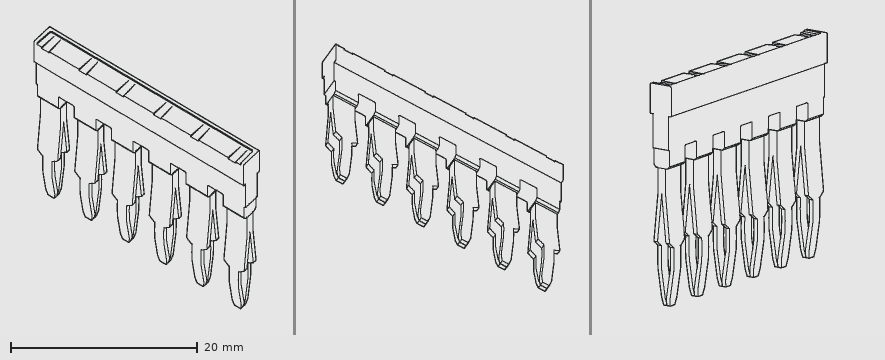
import cadquery as cq


contact_count = 6
pitch = 5.1
contact_width = 2.78
contact_x = [(i - (contact_count - 1) / 2) * pitch for i in range(contact_count)]
row_half_length = contact_x[-1] + contact_width / 2

length = 28.7
flange_width = 2.8
flange_height = 3.4
flange_top_fillet = 0.2
flange_bottom_fillet = 0.17
web_width = 2.05
web_bottom_z = -7.15
tooth_width = 2.98
tooth_bottom_z = -9.3
tooth_chamfer = 0.3
tooth_root_fillet = 0.17

recess_depth = flange_top_fillet
rim_width = 0.5
rim_front_width = 0.4
recess_corner_radius = 0.2
notch_back_width = 0.85
notch_front_width = 1.03
notch_depth = 0.2
notch_length = 2.05

stem_half_thickness = 0.52
fork_z = -12.17
upper_bend_z = -17.7
middle_bend_z = -19.35
lower_bend_z = -20.6
tip_z = -24.7
upper_bend_y = 1.05
middle_bend_y = 1.1
lower_bend_y = 1.05
tip_y = 0.43
leg_thickness = 0.5
tip_gap = 0.03

shoulder_z = -17.5
neck_z = -18.1
neck_width = 1.25
tip_taper_z = -23.82
tip_width = 0.85


def make_flange():
    """Wide top strip with rounded long edges."""
    flange = cq.Workplane("XY").box(length, flange_width, flange_height, centered=(True, True, False))
    flange = flange.translate((0, 0, -flange_height))
    flange = flange.faces(">Z").edges("|X").fillet(flange_top_fillet)
    return flange.faces("<Z").edges("|X").fillet(flange_bottom_fillet)


def make_web():
    """Plate that runs from the top of the housing down to the teeth."""
    height = -web_bottom_z
    web = cq.Workplane("XY").box(length, web_width, height, centered=(True, True, False))
    return web.translate((0, 0, web_bottom_z))


def tooth_sides(x):
    """X of both sides of a tooth; the end teeth stop level with the end of the contact row."""
    left = max(x - tooth_width / 2, -row_half_length)
    right = min(x + tooth_width / 2, row_half_length)
    return left, right


def make_tooth(x):
    """Tooth above one contact, with chamfered lower edges at its front and back."""
    left, right = tooth_sides(x)
    tooth = (
        cq.Workplane("XY")
        .box(right - left, web_width, -tooth_bottom_z, centered=(False, True, False))
        .translate((left, 0, tooth_bottom_z))
    )
    return tooth.faces("<Z").edges("|X").chamfer(tooth_chamfer)


def make_recess():
    """Flat recess that flares toward the front; its floor starts where the front rounding ends."""
    front_y = -flange_width / 2
    back_y = flange_width / 2 - rim_width
    back_x = length / 2 - rim_width
    front_x = length / 2 - rim_front_width
    return (
        cq.Workplane("XY")
        .polyline([(-front_x, front_y), (front_x, front_y), (back_x, back_y), (-back_x, back_y)])
        .close()
        .extrude(-recess_depth)
        .edges("|Z and >Y")
        .fillet(recess_corner_radius)
    )


def make_notch(x):
    """Tapered notch in the recess floor, running down from the recess floor to the front face."""
    front_y = -flange_width / 2
    back_y = front_y + notch_length
    outline = (
        cq.Workplane("XY")
        .polyline([
            (x - notch_front_width / 2, front_y),
            (x + notch_front_width / 2, front_y),
            (x + notch_back_width / 2, back_y),
            (x - notch_back_width / 2, back_y),
        ])
        .close()
        .extrude(-recess_depth - notch_depth)
    )
    ramp = (
        cq.Workplane("YZ")
        .polyline([(back_y, -recess_depth), (front_y, -recess_depth), (front_y, -recess_depth - notch_depth)])
        .close()
        .extrude(length / 2, both=True)
    )
    return outline.intersect(ramp)


def make_housing():
    housing = make_flange().union(make_web())
    for x in contact_x:
        housing = housing.union(make_tooth(x))

    for x in contact_x:
        for corner_x in tooth_sides(x):
            corner = cq.selectors.NearestToPointSelector((corner_x, 0, web_bottom_z))
            housing = housing.edges("|Y").edges(corner).fillet(tooth_root_fillet)

    housing = housing.cut(make_recess())
    for x in contact_x:
        housing = housing.cut(make_notch(x))
    return housing


def make_leg_section(side):
    """Side profile of one spring leg; side is +1 for the back leg and -1 for the front leg."""
    half_gap = tip_gap / 2
    lower_slope = (lower_bend_y - tip_y) / (lower_bend_z - tip_z)
    closing_z = tip_z + (leg_thickness + half_gap - tip_y) / lower_slope
    points = [
        (0, fork_z),
        (stem_half_thickness, fork_z),
        (upper_bend_y, upper_bend_z),
        (middle_bend_y, middle_bend_z),
        (lower_bend_y, lower_bend_z),
        (tip_y, tip_z),
        (half_gap, tip_z),
        (half_gap, closing_z),
        (lower_bend_y - leg_thickness, lower_bend_z),
        (middle_bend_y - leg_thickness, middle_bend_z),
        (upper_bend_y - leg_thickness, upper_bend_z),
    ]
    return (
        cq.Workplane("YZ")
        .polyline([(side * y, z) for y, z in points])
        .close()
        .extrude(contact_width / 2, both=True)
    )


def make_contact(x):
    """Stem that splits into two bent legs, trimmed to the stepped width of the contact."""
    stem = (
        cq.Workplane("XY", origin=(0, 0, fork_z))
        .box(contact_width, 2 * stem_half_thickness, tooth_bottom_z - fork_z, centered=(True, True, False))
    )
    blank = stem.union(make_leg_section(1)).union(make_leg_section(-1))
    half_outline = [
        (contact_width / 2, tooth_bottom_z),
        (contact_width / 2, shoulder_z),
        (neck_width / 2, neck_z),
        (neck_width / 2, tip_taper_z),
        (tip_width / 2, tip_z),
    ]
    mirrored_half = [(-px, pz) for px, pz in reversed(half_outline)]
    outline = (
        cq.Workplane("XZ")
        .polyline(half_outline + mirrored_half)
        .close()
        .extrude(flange_width, both=True)
    )
    return blank.intersect(outline).translate((x, 0, 0))


housing = make_housing()
contacts = [make_contact(x) for x in contact_x]

result = cq.Compound.makeCompound([housing.solids().val(), *[contact.solids().val() for contact in contacts]])